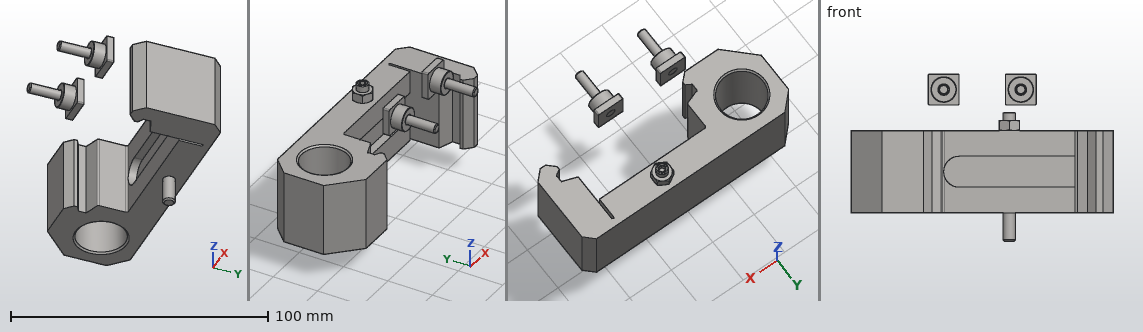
import cadquery as cq
import math

BODY_LENGTH = 102.0
BODY_DEPTH = 37.0
BODY_HEIGHT = 32.0
BAR_THICKNESS = 13.0
BACK_LEFT_CHAMFER = 7.0
FRONT_LEFT_CHAMFER = 12.0
RIGHT_CHAMFER = 4.1

MOUTH_MIDDLE = 61.7
WALL_HALF_GAP = 26.3
GROOVE_HALF_GAP = 32.7
LIP_HALF_GAP = 30.3
FOOT_HALF_GAP = 33.6
GROOVE_SLOPE_START = 25.5
GROOVE_TOP = 27.7
GROOVE_BOTTOM = 31.0
LIP_TOP = 32.4
LIP_BOTTOM = 33.9
MOUTH_FILLET = 0.9

SLIT_WIDTH = 1.0
SLIT_BACK_WALL = 3.2

BORE_DIAMETER = 20.4
BORE_CENTER = 16.0
BORE_CHAMFER = 0.7

COUNTERSINK_TAPER = 45.0

SLOT_DEPTH = 3.5

SCREW_DIAMETER = 5.0
SCREW_LENGTH = 50.0
SCREW_X = 61.5
SCREW_BELOW_BODY = 11.0
SCREW_TIP_CHAMFER = 0.6
SCREW_TOP_CHAMFER_WIDTH = 0.5
SCREW_TOP_CHAMFER_HEIGHT = 0.2
SOCKET_ACROSS_FLATS = 2.4
SOCKET_DEPTH = 2.4
SOCKET_MOUTH_DIAMETER = 2.9
NUT_ACROSS_FLATS = 8.0
NUT_HEIGHT = 4.0
NUT_CHAMFER_ANGLE = 30.0
HEXAGON_HALF_SECTOR = 30.0

PLATE_SIDE = 12.0
PLATE_THICKNESS = 2.9
PLATE_CORNER_RADIUS = 0.5
COLLAR_DIAMETER = 9.9
COLLAR_LENGTH = 5.1
COLLAR_CHAMFER = 0.2
STUD_DIAMETER = 4.0
STUD_LENGTH = 20.9
STUD_TIP_CHAMFER = 0.4
STUD_HOLE_MOUTH_DIAMETER = 4.5
T_NUT_SPACING = 30.0
FIRST_T_NUT_X = 36.0
T_NUT_BACK_Y = -34.1
T_NUT_Z = BODY_HEIGHT + 15.9

SLOT_HEIGHT = PLATE_SIDE
SLOT_LEFT_END = FIRST_T_NUT_X

LEFT_WALL = MOUTH_MIDDLE - WALL_HALF_GAP
RIGHT_WALL = MOUTH_MIDDLE + WALL_HALF_GAP
SLIT_LEFT = RIGHT_WALL - SLIT_WIDTH
SCREW_Y = -BAR_THICKNESS / 2


def jaw_profile(side):
    """Points of one jaw from the wall to the foot; side is -1 for the left jaw and 1 for the right."""
    half_gaps_and_depths = [
        (WALL_HALF_GAP, GROOVE_SLOPE_START),
        (GROOVE_HALF_GAP, GROOVE_TOP),
        (GROOVE_HALF_GAP, GROOVE_BOTTOM),
        (LIP_HALF_GAP, LIP_TOP),
        (LIP_HALF_GAP, LIP_BOTTOM),
        (FOOT_HALF_GAP, BODY_DEPTH),
    ]
    return [(MOUTH_MIDDLE + side * half_gap, -depth) for half_gap, depth in half_gaps_and_depths]


def body_outline():
    """Closed outline of the block seen along Z, from the back left corner round the front."""
    left_jaw = jaw_profile(-1)
    right_jaw = jaw_profile(1)
    slit_radius = SLIT_WIDTH / 2
    slit_shoulder = -SLIT_BACK_WALL - slit_radius
    outline = (
        cq.Workplane("XY")
        .moveTo(BACK_LEFT_CHAMFER, 0)
        .lineTo(0, -BACK_LEFT_CHAMFER)
        .lineTo(0, FRONT_LEFT_CHAMFER - BODY_DEPTH)
        .lineTo(FRONT_LEFT_CHAMFER, -BODY_DEPTH)
    )
    for point in reversed(left_jaw):
        outline = outline.lineTo(*point)
    outline = (
        outline.lineTo(LEFT_WALL, -BAR_THICKNESS)
        .lineTo(SLIT_LEFT, -BAR_THICKNESS)
        .lineTo(SLIT_LEFT, slit_shoulder)
        .threePointArc((SLIT_LEFT + slit_radius, -SLIT_BACK_WALL), (RIGHT_WALL, slit_shoulder))
    )
    for point in right_jaw:
        outline = outline.lineTo(*point)
    return (
        outline.lineTo(BODY_LENGTH - RIGHT_CHAMFER, -BODY_DEPTH)
        .lineTo(BODY_LENGTH, RIGHT_CHAMFER - BODY_DEPTH)
        .lineTo(BODY_LENGTH, -RIGHT_CHAMFER)
        .lineTo(BODY_LENGTH - RIGHT_CHAMFER, 0)
        .close()
    )


def fillet_left_wall(body):
    """Round the two vertical edges at the ends of the left mouth wall."""
    for depth in (BAR_THICKNESS, GROOVE_SLOPE_START):
        edge_point = (LEFT_WALL, -depth, BODY_HEIGHT / 2)
        body = body.edges(cq.selectors.NearestToPointSelector(edge_point)).fillet(MOUTH_FILLET)
    return body


def bore_cutter():
    """Through bore, chamfered at both ends."""
    bore = cq.Workplane("XY").circle(BORE_DIAMETER / 2).extrude(BODY_HEIGHT)
    mouth = (
        cq.Workplane("XY", origin=(0, 0, BODY_HEIGHT))
        .circle(BORE_DIAMETER / 2 + BORE_CHAMFER)
        .extrude(-BORE_CHAMFER, taper=COUNTERSINK_TAPER)
    )
    lower_mouth = mouth.mirror("XY", (0, 0, BODY_HEIGHT / 2))
    return bore.union(mouth).union(lower_mouth).translate((BORE_CENTER, -BORE_CENTER, 0))


def slot_cutter():
    """Slot with a round left end; its right end opens into the slit."""
    radius = SLOT_HEIGHT / 2
    arc_center = SLOT_LEFT_END + radius
    return (
        cq.Workplane("XZ", origin=(0, SLOT_DEPTH - BAR_THICKNESS, BODY_HEIGHT / 2))
        .moveTo(SLIT_LEFT, -radius)
        .lineTo(arc_center, -radius)
        .threePointArc((SLOT_LEFT_END, 0), (arc_center, radius))
        .lineTo(SLIT_LEFT, radius)
        .close()
        .extrude(SLOT_DEPTH + MOUTH_FILLET)
    )


def make_clamp_body():
    body = fillet_left_wall(body_outline().extrude(BODY_HEIGHT))
    screw_hole = (
        cq.Workplane("XY", origin=(SCREW_X, SCREW_Y, 0)).circle(SCREW_DIAMETER / 2).extrude(BODY_HEIGHT)
    )
    return body.cut(bore_cutter()).cut(slot_cutter()).cut(screw_hole)


def hexagon_across_corners(across_flats):
    return across_flats / math.cos(math.radians(HEXAGON_HALF_SECTOR))


def make_adjusting_screw():
    """Set screw with a hexagon socket in its upper end."""
    screw = (
        cq.Workplane("XY", origin=(SCREW_X, SCREW_Y, -SCREW_BELOW_BODY))
        .circle(SCREW_DIAMETER / 2)
        .extrude(SCREW_LENGTH)
        .faces("<Z")
        .chamfer(SCREW_TIP_CHAMFER)
        .faces(">Z")
        .chamfer(SCREW_TOP_CHAMFER_HEIGHT, SCREW_TOP_CHAMFER_WIDTH)
    )
    socket_across_corners = hexagon_across_corners(SOCKET_ACROSS_FLATS)
    screw_top = screw.faces(">Z").workplane()
    socket = screw_top.polygon(6, socket_across_corners).extrude(-SOCKET_DEPTH, combine=False)
    mouth_depth = (SOCKET_MOUTH_DIAMETER - SOCKET_ACROSS_FLATS) / 2
    socket_mouth = screw_top.circle(SOCKET_MOUTH_DIAMETER / 2).extrude(
        -mouth_depth, combine=False, taper=COUNTERSINK_TAPER
    )
    return screw.cut(socket).cut(socket_mouth)


def make_lock_nut():
    """Hexagon nut on top of the body, its corners turned off by a cone at both ends."""
    corner_radius = hexagon_across_corners(NUT_ACROSS_FLATS) / 2
    flat_radius = NUT_ACROSS_FLATS / 2
    corner_drop = (corner_radius - flat_radius) * math.tan(math.radians(NUT_CHAMFER_ANGLE))
    prism = cq.Workplane("XY").polygon(6, 2 * corner_radius).extrude(NUT_HEIGHT)
    prism = prism.rotate((0, 0, 0), (0, 0, 1), HEXAGON_HALF_SECTOR)
    turned_blank = (
        cq.Workplane("XZ")
        .polyline(
            [
                (0, 0),
                (flat_radius, 0),
                (corner_radius, corner_drop),
                (corner_radius, NUT_HEIGHT - corner_drop),
                (flat_radius, NUT_HEIGHT),
                (0, NUT_HEIGHT),
            ]
        )
        .close()
        .revolve(360, (0, 0, 0), (0, 1, 0))
    )
    thread_hole = cq.Workplane("XY").circle(SCREW_DIAMETER / 2).extrude(NUT_HEIGHT)
    return prism.intersect(turned_blank).cut(thread_hole).translate((SCREW_X, SCREW_Y, BODY_HEIGHT))


def t_nut_plane(x):
    """Workplane on the back of a T-nut; its normal points to -Y, along the stud."""
    return cq.Workplane("XZ", origin=(x, T_NUT_BACK_Y, T_NUT_Z))


def make_t_nut(x):
    """Square plate and round collar with a through hole for the stud, countersunk at the collar."""
    plate = (
        t_nut_plane(x)
        .rect(PLATE_SIDE, PLATE_SIDE)
        .extrude(PLATE_THICKNESS)
        .edges("|Y")
        .fillet(PLATE_CORNER_RADIUS)
    )
    full_length = PLATE_THICKNESS + COLLAR_LENGTH
    collar = t_nut_plane(x).circle(COLLAR_DIAMETER / 2).extrude(full_length)
    collar = collar.faces("<Y").chamfer(COLLAR_CHAMFER)
    stud_hole = t_nut_plane(x).circle(STUD_DIAMETER / 2).extrude(full_length)
    mouth_depth = (STUD_HOLE_MOUTH_DIAMETER - STUD_DIAMETER) / 2
    hole_mouth = (
        t_nut_plane(x)
        .workplane(offset=full_length)
        .circle(STUD_HOLE_MOUTH_DIAMETER / 2)
        .extrude(-mouth_depth, taper=COUNTERSINK_TAPER)
    )
    return plate.union(collar).cut(stud_hole).cut(hole_mouth)


def make_stud(x):
    """Stud flush with the back of its T-nut, with a chamfered free end."""
    stud = t_nut_plane(x).circle(STUD_DIAMETER / 2).extrude(STUD_LENGTH)
    return stud.faces("<Y").chamfer(STUD_TIP_CHAMFER)


clamp_body = make_clamp_body()
adjusting_screw = make_adjusting_screw()
lock_nut = make_lock_nut()

t_nuts = []
studs = []
for x in (FIRST_T_NUT_X, FIRST_T_NUT_X + T_NUT_SPACING):
    t_nuts.append(make_t_nut(x).val())
    studs.append(make_stud(x).val())

result = cq.Compound.makeCompound(
    [clamp_body.val(), adjusting_screw.val(), lock_nut.val(), *t_nuts, *studs]
)